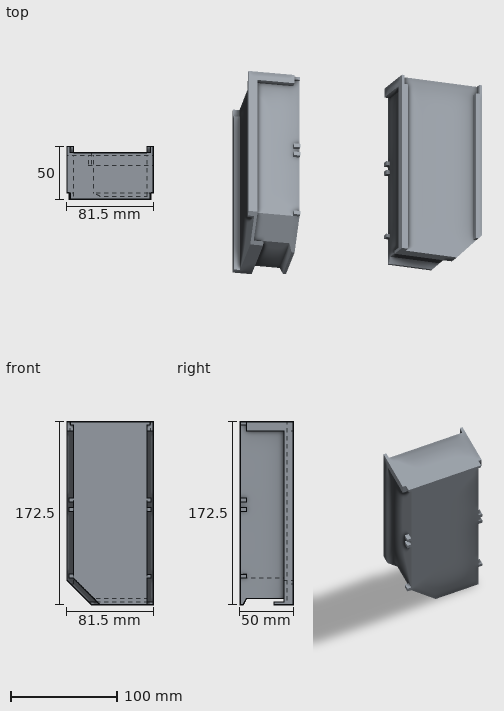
import cadquery as cq

WIDTH = 81.5
DEPTH = 50.0
HEIGHT = 172.5

SIDE_INSET = 6.0
FLANGE_THICKNESS = 8.8
TOP_BAND_HEIGHT = 8.8
CORNER_CUT = 23.1
BODY_CORNER_Z = 25.2
BASE_LIP_HEIGHT = 3.0
BASE_LIP_DEPTH = 18.3

FRONT_STEP = 6.0
BODY_BASE_Z = 6.0
FOOT_DEPTH = 3.0

TAB_LENGTH = 4.0
TAB_HEIGHT = 3.8
TAB_BASES = (BODY_CORNER_Z, 88.1, 97.0)
LOW_RIGHT_TAB_HEIGHT = 3.3
TOP_TAB_LENGTH = 2.8
TOP_TAB_HEIGHT = 3.0

RECESS_DEPTH = 6.0
RECESS_WALL = 6.2
NOTCH_WALL = 2.8
NOTCH_HEIGHT = TOP_BAND_HEIGHT
CORNER_OPENING_HEIGHT = 19.8


def block(x_range, y_range, z_range):
    """Box spanning the given minimum and maximum along each axis."""
    spans = (x_range, y_range, z_range)
    size = [high - low for low, high in spans]
    corner = tuple(low for low, high in spans)
    return cq.Workplane("XY").box(*size, centered=False).translate(corner)


def cut_corner_prism(left, right, corner_z, y_range):
    """Full-height prism whose lower left corner is cut at 45 degrees."""
    y_start, y_end = y_range
    corner_x = left + corner_z
    outline = [(left, corner_z), (corner_x, 0), (right, 0), (right, HEIGHT), (left, HEIGHT)]
    return cq.Workplane("XZ", origin=(0, y_start, 0)).polyline(outline).close().extrude(y_start - y_end)


body_left = SIDE_INSET
body_right = WIDTH - SIDE_INSET
flange_front = DEPTH - FLANGE_THICKNESS
recess_floor = DEPTH - RECESS_DEPTH


def make_body():
    """Narrow body, raised off the base behind its tapered front foot."""
    body = cut_corner_prism(body_left, body_right, BODY_CORNER_Z, (0, flange_front))
    clearance = (
        cq.Workplane("YZ")
        .polyline([(FOOT_DEPTH, 0), (FRONT_STEP, BODY_BASE_Z), (flange_front, BODY_BASE_Z), (flange_front, 0)])
        .close()
        .extrude(WIDTH)
    )
    return body.cut(clearance)


def make_flange():
    """Rear flange with the deep band along its top and the lip along its base."""
    flange = cut_corner_prism(0, WIDTH, CORNER_CUT, (flange_front, DEPTH))
    top_band = block((0, WIDTH), (FRONT_STEP, DEPTH), (HEIGHT - TOP_BAND_HEIGHT, HEIGHT))
    lip_span = (DEPTH - BASE_LIP_DEPTH, DEPTH)
    base_lip = cut_corner_prism(0, WIDTH, CORNER_CUT, lip_span).intersect(
        block((0, WIDTH), lip_span, (0, BASE_LIP_HEIGHT))
    )
    return flange.union(top_band).union(base_lip)


def add_tabs(part):
    """Tabs that widen the front edge of the body."""
    front = (0, FRONT_STEP)
    for base in TAB_BASES:
        right_height = LOW_RIGHT_TAB_HEIGHT if base == BODY_CORNER_Z else TAB_HEIGHT
        part = part.union(block((body_left - TAB_LENGTH, body_left), front, (base, base + TAB_HEIGHT)))
        part = part.union(block((body_right, body_right + TAB_LENGTH), front, (base, base + right_height)))
    top_span = (body_left - TOP_TAB_LENGTH, body_right + TOP_TAB_LENGTH)
    return part.union(block(top_span, front, (HEIGHT - TOP_TAB_HEIGHT, HEIGHT)))


def cut_rear_recess(part):
    """Recess open at top and base, wider at the top and through the cut corner."""
    rear = (recess_floor, DEPTH)
    channel = block((RECESS_WALL, WIDTH - RECESS_WALL), rear, (0, HEIGHT))
    top_notch = block((NOTCH_WALL, WIDTH - NOTCH_WALL), rear, (HEIGHT - NOTCH_HEIGHT, HEIGHT))
    corner_opening = block((0, RECESS_WALL), rear, (0, CORNER_OPENING_HEIGHT))
    return part.cut(channel).cut(top_notch).cut(corner_opening)


result = cut_rear_recess(add_tabs(make_body().union(make_flange())))